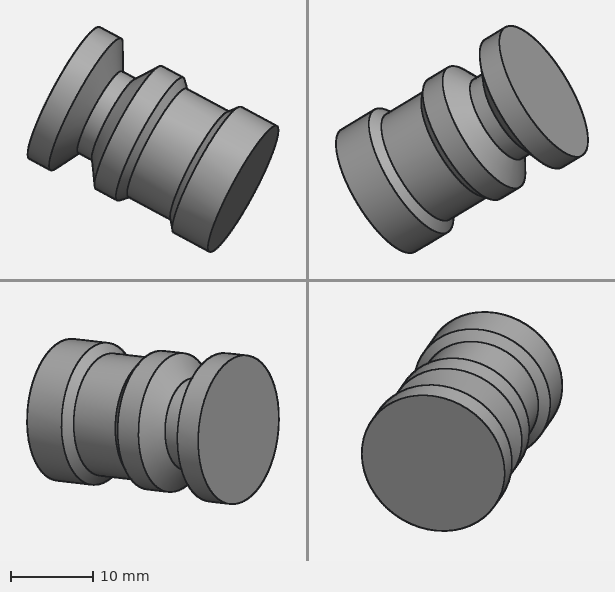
import cadquery as cq

axis_dip = 23.7

head_radius = 18.2 / 2
neck_radius = 11.3 / 2
collar_radius = 17.0 / 2
barrel_radius = 15.0 / 2
base_radius = 17.4 / 2

head_length = 3.0
head_taper = 1.98
neck_length = 2.0
collar_taper = 2.0
collar_length = 3.0
barrel_chamfer = 1.0
barrel_length = 6.0
base_chamfer = 1.0
base_length = 5.0

sections = [
    (head_length, head_radius),
    (head_taper, neck_radius),
    (neck_length, neck_radius),
    (collar_taper, collar_radius),
    (collar_length, collar_radius),
    (barrel_chamfer, barrel_radius),
    (barrel_length, barrel_radius),
    (base_chamfer, base_radius),
    (base_length, base_radius),
]


def turned_body():
    """Revolve the stepped half profile about the X axis, head face at the origin."""
    profile = cq.Workplane("XZ").lineTo(0, head_radius)
    position = 0
    for length, end_radius in sections:
        position += length
        profile = profile.lineTo(position, end_radius)
    profile = profile.lineTo(position, 0).close()
    return profile.revolve(360, (0, 0, 0), (1, 0, 0))


result = turned_body().rotate((0, 0, 0), (0, 1, 0), axis_dip)